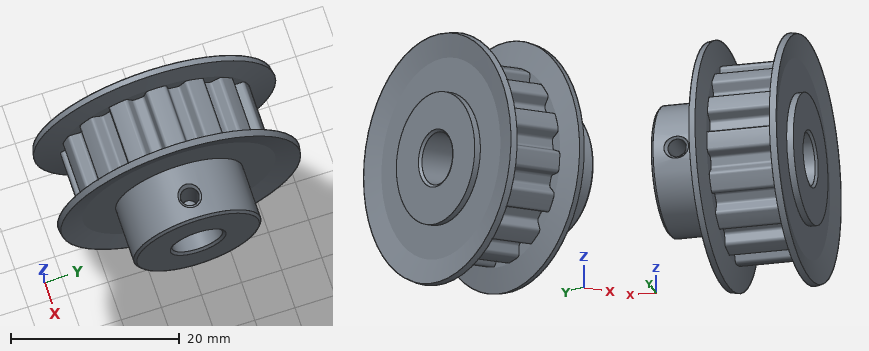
import cadquery as cq
import math


total_length = 17.47
track_start = 1.63
track_end = 9.55

tooth_count = 15
tip_radius = 11.92
groove_depth = 1.4
groove_floor_width = 1.33
groove_flank_angle = 25.0
groove_overshoot = 0.3
tooth_tip_fillet = 0.45
groove_root_fillet = 0.4

flange_radius = 15.1
flange_bend_radius = 12.05
flange_thickness = 0.8
flange_bend_angle = 11.0

hub_radius = 7.95
hub_end_chamfer = 0.3
bore_radius = 3.17
bore_chamfer = 0.3

screw_x = 14.35
screw_radius = 1.12
screw_countersink_radius = 1.5

pitch_angle = 360.0 / tooth_count
root_radius = tip_radius - groove_depth


def x_cylinder(radius, start, end):
    return cq.Workplane("YZ", origin=(start, 0, 0)).circle(radius).extrude(end - start)


def make_groove():
    """Trapezoidal prism open past the tooth tips, pointing along +Z."""
    top_radius = tip_radius + groove_overshoot
    half_floor = groove_floor_width / 2
    half_top = half_floor + (top_radius - root_radius) * math.tan(math.radians(groove_flank_angle))
    outline = [
        (-half_floor, root_radius),
        (half_floor, root_radius),
        (half_top, top_radius),
        (-half_top, top_radius),
    ]
    return (
        cq.Workplane("YZ", origin=(track_start, 0, 0))
        .polyline(outline)
        .close()
        .extrude(track_end - track_start)
    )


def round_long_edges(track, near_radius, fillet_radius):
    """Fillet the edges parallel to X that lie within half a groove depth of near_radius."""
    chosen_edges = []
    for edge in track.edges("|X").vals():
        center = edge.Center()
        if abs(math.hypot(center.y, center.z) - near_radius) < groove_depth / 2:
            chosen_edges.append(edge)
    return track.newObject(chosen_edges).fillet(fillet_radius)


def make_track():
    """Toothed ring with one tooth centred on +Z."""
    track = x_cylinder(tip_radius, track_start, track_end)
    groove = make_groove()
    for index in range(tooth_count):
        angle = (index + 0.5) * pitch_angle
        track = track.cut(groove.rotate((0, 0, 0), (1, 0, 0), angle))

    track = round_long_edges(track, root_radius, groove_root_fillet)
    return round_long_edges(track, tip_radius, tooth_tip_fillet)


def make_flange(inner_face_x, outward):
    """Dished disc; outward is the X direction (+1 or -1) the rim leans away from the track."""
    bend = math.radians(flange_bend_angle)
    rim_offset = (flange_radius - flange_bend_radius) * math.tan(bend)
    rim_outer_offset = rim_offset + flange_thickness * math.cos(bend)
    rim_outer_radius = flange_radius - flange_thickness * math.sin(bend)
    section = [
        (0, 0),
        (0, flange_bend_radius),
        (rim_offset, flange_radius),
        (rim_outer_offset, rim_outer_radius),
        (flange_thickness, flange_bend_radius),
        (flange_thickness, 0),
    ]
    points = [(inner_face_x + outward * offset, radius) for offset, radius in section]
    return cq.Workplane("XY").polyline(points).close().revolve(360, (0, 0, 0), (1, 0, 0))


def make_hub():
    return x_cylinder(hub_radius, 0, total_length).faces(">X").chamfer(hub_end_chamfer)


def make_bore():
    """Through bore widened by a chamfer at both ends."""
    mouth_radius = bore_radius + bore_chamfer
    section = [
        (0, 0),
        (0, mouth_radius),
        (bore_chamfer, bore_radius),
        (total_length - bore_chamfer, bore_radius),
        (total_length, mouth_radius),
        (total_length, 0),
    ]
    return cq.Workplane("XY").polyline(section).close().revolve(360, (0, 0, 0), (1, 0, 0))


def make_screw_hole():
    """Radial hole along +Z from the bore to the hub surface, with a 45-degree countersink."""
    countersink_depth = screw_countersink_radius - screw_radius
    section = [
        (0, 0),
        (screw_radius, 0),
        (screw_radius, hub_radius - countersink_depth),
        (screw_countersink_radius, hub_radius),
        (0, hub_radius),
    ]
    hole = cq.Workplane("XZ").polyline(section).close().revolve(360, (0, 0, 0), (0, 1, 0))
    return hole.translate((screw_x, 0, 0))


result = make_hub()
result = result.union(make_track())
result = result.union(make_flange(track_start, -1))
result = result.union(make_flange(track_end, 1))
result = result.cut(make_bore())

screw_hole = make_screw_hole()
for screw_turn in (0, -90):
    result = result.cut(screw_hole.rotate((0, 0, 0), (1, 0, 0), screw_turn))